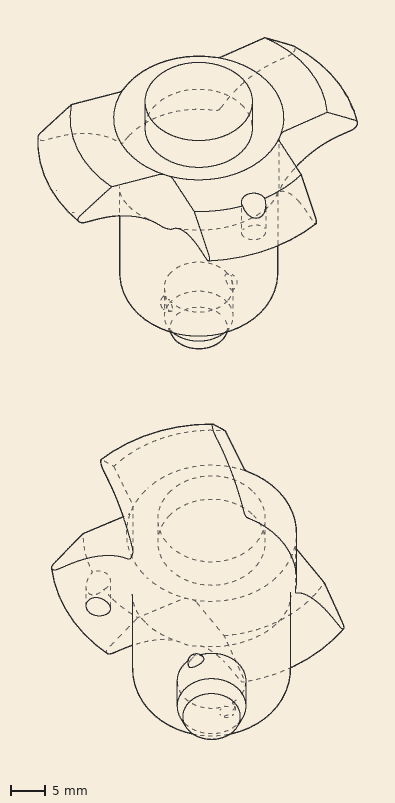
import cadquery as cq
import math

taper_top = 2.55
ball_height = 7.55
body_bottom = 8.7
body_top = 29.5
arm_underside = 38.55
arm_top = 44.7
button_edge = 48.2
button_peak = 48.7

pin_tip_radius = 4.2
pin_radius = 5.0
body_radius = 11.55
hub_radius = 12.4
button_radius = 7.85
recess_rim_radius = 9.95
arm_tip_radius = 23.5

body_fillet = 2.95
lip_radius = 1.0
corner_fillet = 1.15
recess_rim_depth = 1.45
recess_depth = 2.2
ball_radius = 1.25
ball_offset = 4.75
arm_half_width = 8.645
side_arm_half_width = 8.75
side_arm_angle = 95.9
hole_radius = 1.778
hole_offset = 18.65


def handle_envelope():
    """Full-turn handle: flared neck, rounded lip and 45 degree upper slope."""
    diagonal = math.sqrt(0.5)
    flare_radius = arm_underside - body_top
    flare_center = body_radius + flare_radius
    lip_center_r = arm_tip_radius - lip_radius
    lip_center_z = arm_underside + lip_radius
    slope_r = lip_center_r + lip_radius * diagonal
    slope_z = lip_center_z + lip_radius * diagonal
    return (
        cq.Workplane("XZ")
        .moveTo(0, body_top)
        .lineTo(body_radius, body_top)
        .threePointArc(
            (flare_center - flare_radius * diagonal, body_top + flare_radius * diagonal),
            (flare_center, arm_underside),
        )
        .lineTo(lip_center_r, arm_underside)
        .threePointArc((arm_tip_radius, lip_center_z), (slope_r, slope_z))
        .lineTo(slope_r - (arm_top - slope_z), arm_top)
        .lineTo(0, arm_top)
        .close()
        .revolve()
    )


def arm_block(half_width, angle):
    """Straight bar from the axis to beyond the lip, turned about Z."""
    return (
        cq.Workplane("XY", origin=(0, 0, body_top))
        .rect(2 * arm_tip_radius, 2 * half_width)
        .extrude(arm_top - body_top)
        .translate((arm_tip_radius, 0, 0))
        .rotate((0, 0, 0), (0, 0, 1), angle)
    )


def handle():
    """Hub with three arms, trimmed by the handle envelope."""
    height = arm_top - body_top
    hub = cq.Workplane("XY", origin=(0, 0, body_top)).circle(hub_radius).extrude(height)
    blank = hub.union(arm_block(arm_half_width, 0))
    for angle in (side_arm_angle, -side_arm_angle):
        blank = blank.union(arm_block(side_arm_half_width, angle))
    outline = blank.faces("<Z").wires().toPending()
    outline = outline.offset2D(corner_fillet).offset2D(-corner_fillet)
    rounded = cq.Workplane("XY").add(outline.vals()).toPending().extrude(height)
    return rounded.intersect(handle_envelope())


def pin_and_body():
    """Tapered pin below a cylindrical body with a rounded lower edge."""
    pin = (
        cq.Workplane("XZ")
        .polyline([
            (0, 0),
            (pin_tip_radius, 0),
            (pin_radius, taper_top),
            (pin_radius, body_bottom),
            (0, body_bottom),
        ])
        .close()
        .revolve()
    )
    body = (
        cq.Workplane("XY", origin=(0, 0, body_bottom))
        .circle(body_radius)
        .extrude(body_top - body_bottom)
        .faces("<Z")
        .edges()
        .fillet(body_fillet)
    )
    return pin.union(body)


def recess():
    """Dish in the top of the hub: conical rim curving smoothly down to the button."""
    return (
        cq.Workplane("XZ")
        .moveTo(0, arm_top)
        .lineTo(hub_radius, arm_top)
        .lineTo(recess_rim_radius, arm_top - recess_rim_depth)
        .tangentArcPoint((button_radius, arm_top - recess_depth), relative=False)
        .lineTo(0, arm_top - recess_depth)
        .close()
        .revolve()
    )


def button():
    """Push button with a shallow domed top."""
    dome_rise = button_peak - button_edge
    dome_radius = (button_radius ** 2 + dome_rise ** 2) / (2 * dome_rise)
    mid_radius = button_radius / 2
    mid_height = button_peak - dome_radius + math.sqrt(dome_radius ** 2 - mid_radius ** 2)
    return (
        cq.Workplane("XZ")
        .moveTo(0, arm_top - recess_depth)
        .lineTo(button_radius, arm_top - recess_depth)
        .lineTo(button_radius, button_edge)
        .threePointArc((mid_radius, mid_height), (0, button_peak))
        .close()
        .revolve()
    )


def lanyard_hole():
    """Vertical hole through the +X arm."""
    return (
        cq.Workplane("XY", origin=(hole_offset, 0, body_top))
        .circle(hole_radius)
        .extrude(arm_top - body_top)
    )


result = pin_and_body().union(handle()).cut(recess()).union(button()).cut(lanyard_hole())
for side in (-1, 1):
    locking_ball = cq.Workplane("XY").sphere(ball_radius).translate((0, side * ball_offset, ball_height))
    result = result.union(locking_ball)